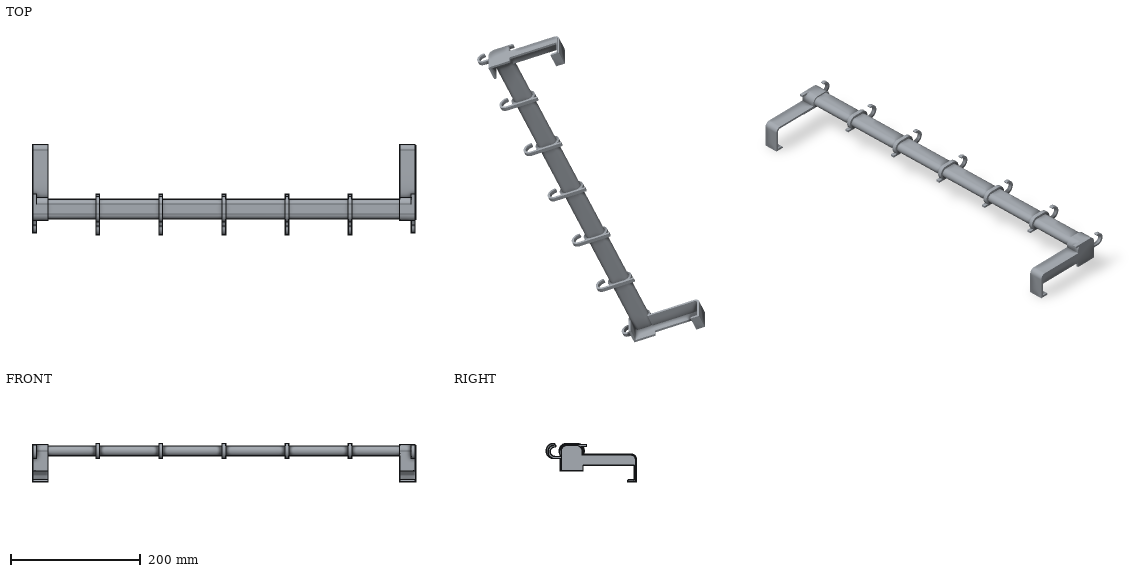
import cadquery as cq
import math

overall_length = 590.0
plate_projection = 1.0
rail_radius = 7.5
rail_flat = 15.5
rail_y = -30.0
rail_z = 48.0
rail_back_y = rail_y + rail_flat / 2
rail_front_y = rail_y - rail_flat / 2

strip_width = 23.5
strip_thickness = 3.5
arm_back_y = 69.5
arm_top_z = 43.0
arm_bend_radius = 8.0
lip_length = 14.0
lip_round = 3.0
saddle_radius = 10.0
saddle_top_z = rail_z + saddle_radius
saddle_back_y = rail_back_y + saddle_radius
saddle_front_y = rail_front_y - saddle_radius
saddle_bottom_z = 17.0
front_wall_y = saddle_front_y + strip_thickness

plate_thickness = 3.5
plate_inset = 2.0
arm_bottom_z = 25.5

hook_count = 7
hook_width = 6.0
hook_thickness = 3.5
ring_thickness = 4.0
hook_bottom_z = rail_z - rail_radius - ring_thickness
tail_end_y = -7.0
ring_hook_radius = 12.0
ring_hook_tip_y = -69.5
bracket_hook_radius = 10.5
bracket_hook_tip_y = -66.5

MID_ARC = math.sqrt(0.5)
left_end = -overall_length / 2
right_end = overall_length / 2 - plate_projection


def sketch(x):
    """Sketch plane across the rail, with local axes along Y and Z."""
    return cq.Workplane("YZ", origin=(x, 0, 0))


def obround(x, length, margin):
    """Rail section grown by a margin, extruded along X."""
    diameter = 2 * (rail_radius + margin)
    return sketch(x).center(rail_y, rail_z).slot2D(rail_flat + diameter, diameter).extrude(length)


def bracket_outline(x, inset):
    """Open outer path of the strip from the lip to the front, moved inwards by an inset."""
    arm_r = arm_bend_radius - inset
    saddle_r = saddle_radius - inset
    back_y = arm_back_y - inset
    top_z = arm_top_z - inset
    bend_y = arm_back_y - arm_bend_radius
    bend_z = arm_top_z - arm_bend_radius
    return (
        sketch(x)
        .moveTo(back_y, 0)
        .lineTo(back_y, bend_z)
        .threePointArc((bend_y + MID_ARC * arm_r, bend_z + MID_ARC * arm_r), (bend_y, top_z))
        .lineTo(saddle_back_y - inset, top_z)
        .lineTo(saddle_back_y - inset, rail_z)
        .threePointArc(
            (rail_back_y + MID_ARC * saddle_r, rail_z + MID_ARC * saddle_r),
            (rail_back_y, saddle_top_z - inset),
        )
        .lineTo(rail_front_y, saddle_top_z - inset)
        .threePointArc(
            (rail_front_y - MID_ARC * saddle_r, rail_z + MID_ARC * saddle_r),
            (saddle_front_y + inset, rail_z),
        )
        .lineTo(saddle_front_y + inset, saddle_bottom_z)
    )


def closed_profile(x, inset, depth):
    """Solid below the strip path, filled down to the bottom of the lip."""
    return (
        bracket_outline(x, inset)
        .lineTo(saddle_front_y + inset, 0)
        .close()
        .extrude(depth)
    )


def yz_box(x, depth, y_min, y_max, z_min, z_max):
    """Box given by its start and depth along X and its Y and Z limits."""
    return (
        sketch(x)
        .center((y_min + y_max) / 2, (z_min + z_max) / 2)
        .rect(y_max - y_min, z_max - z_min)
        .extrude(depth)
    )


def strip(x):
    """Bent strip with its lip."""
    shell = closed_profile(x, 0, strip_width).cut(closed_profile(x, strip_thickness, strip_width))
    below_front = yz_box(x, strip_width, saddle_front_y, saddle_back_y, 0, saddle_bottom_z)
    lip = yz_box(x, strip_width, arm_back_y - lip_length, arm_back_y, 0, strip_thickness)
    lip = lip.edges("|X and <Y and >Z").fillet(lip_round)
    return shell.cut(below_front).union(lip)


def side_plate(x):
    """Flat plate filling the arm and the saddle, with a leg along the back wall."""
    plate = closed_profile(x, plate_inset, plate_thickness)
    leg_y = arm_back_y - strip_thickness
    under_arm = yz_box(x, plate_thickness, saddle_back_y, leg_y, 0, arm_bottom_z)
    under_saddle = yz_box(x, plate_thickness, saddle_front_y, saddle_back_y, 0, saddle_bottom_z)
    return plate.cut(under_arm).cut(under_saddle)


def tail(x, bottom_z):
    """Short flat tail reaching back from the rail."""
    return yz_box(x, hook_width, rail_back_y, tail_end_y, bottom_z, bottom_z + hook_thickness)


def curl(x, start_y, radius, tip_y):
    """J-shaped hook in front of the rail with a rounded end."""
    inner = radius - hook_thickness
    centre_y = tip_y + radius
    centre_z = hook_bottom_z + radius
    top_z = centre_z + radius
    middle_z = top_z - hook_thickness / 2
    return (
        sketch(x)
        .moveTo(start_y, hook_bottom_z)
        .lineTo(centre_y, hook_bottom_z)
        .threePointArc((tip_y, centre_z), (centre_y, top_z))
        .threePointArc((centre_y + hook_thickness / 2, middle_z), (centre_y, top_z - hook_thickness))
        .threePointArc((centre_y - inner, centre_z), (centre_y, centre_z - inner))
        .lineTo(start_y, hook_bottom_z + hook_thickness)
        .close()
        .extrude(hook_width)
    )


right_plate_x = overall_length / 2 - plate_thickness
rail_start = left_end + plate_thickness
result = obround(rail_start, right_plate_x - rail_start, 0)

for strip_x, plate_x in ((left_end, left_end), (right_end - strip_width, right_plate_x)):
    result = result.union(strip(strip_x)).union(side_plate(plate_x))

hook_pitch = (right_end - left_end - hook_width) / (hook_count - 1)
for i in range(hook_count):
    hook_x = left_end + i * hook_pitch
    if i in (0, hook_count - 1):
        result = result.union(tail(hook_x, saddle_top_z - hook_thickness))
        result = result.union(curl(hook_x, front_wall_y, bracket_hook_radius, bracket_hook_tip_y))
    else:
        result = result.union(obround(hook_x, hook_width, ring_thickness))
        result = result.union(tail(hook_x, hook_bottom_z))
        result = result.union(curl(hook_x, rail_front_y, ring_hook_radius, ring_hook_tip_y))